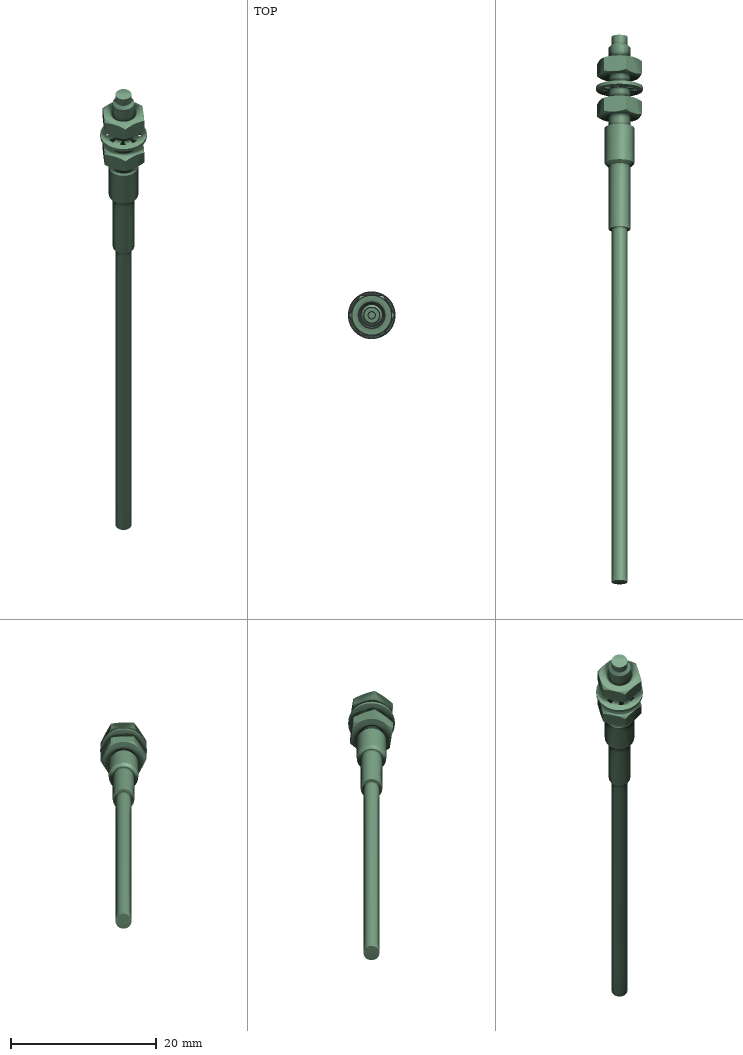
import cadquery as cq
import math

TOTAL_LENGTH = 78.0

CABLE_RADIUS = 1.1
SLEEVE_RADIUS = 1.5
COLLAR_RADIUS = 2.0
STEM_RADIUS = 1.5
TIP_RADIUS = 1.1
CORE_RADIUS = 0.5

TIP_LENGTH = 1.2
STEM_LENGTH = 11.85
COLLAR_LENGTH = 5.45
SLEEVE_LENGTH = 9.05
STEM_CHAMFER = 0.4
COLLAR_CHAMFER = 0.4

NUT_SIDES = 6
NUT_ACROSS_FLATS = 5.45
NUT_THICKNESS = 2.3
NUT_CHAMFER_ANGLE = 30.0
COUNTERSINK_RADIUS = 1.8
WASHER_RADIUS = 3.2
WASHER_THICKNESS = 0.5
WASHER_BORE_RADIUS = 2.35
TOOTH_COUNT = 8
TOOTH_WIDTH = 0.9
UPPER_NUT_TOP = 74.6
LOWER_NUT_TOP = 68.8
WASHER_TOP = 70.8

STEM_TOP = TOTAL_LENGTH - TIP_LENGTH
COLLAR_TOP = STEM_TOP - STEM_LENGTH
SLEEVE_TOP = COLLAR_TOP - COLLAR_LENGTH
CABLE_TOP = SLEEVE_TOP - SLEEVE_LENGTH


def cylinder(radius, bottom, top):
    return cq.Workplane("XY", origin=(0, 0, bottom)).circle(radius).extrude(top - bottom)


def hex_nut(top):
    """Hexagon nut with corners on the X axis, chamfered corners and countersunk ends."""
    flat_radius = NUT_ACROSS_FLATS / 2
    corner_radius = flat_radius / math.cos(math.pi / NUT_SIDES)
    bottom = top - NUT_THICKNESS
    chamfer_drop = (corner_radius - flat_radius) * math.tan(math.radians(NUT_CHAMFER_ANGLE))
    countersink_depth = COUNTERSINK_RADIUS - STEM_RADIUS
    base_plane = cq.Workplane("XY", origin=(0, 0, bottom))
    hexagon = base_plane.polygon(NUT_SIDES, 2 * corner_radius).extrude(NUT_THICKNESS)
    envelope = (
        cq.Workplane("XZ")
        .moveTo(STEM_RADIUS, bottom + countersink_depth)
        .lineTo(COUNTERSINK_RADIUS, bottom)
        .lineTo(flat_radius, bottom)
        .lineTo(corner_radius, bottom + chamfer_drop)
        .lineTo(corner_radius, top - chamfer_drop)
        .lineTo(flat_radius, top)
        .lineTo(COUNTERSINK_RADIUS, top)
        .lineTo(STEM_RADIUS, top - countersink_depth)
        .close()
        .revolve(360, (0, 0, 0), (0, 1, 0))
    )
    return hexagon.intersect(envelope)


def toothed_washer():
    """Ring whose inner teeth reach in to the axis, where they merge with the stem."""
    bottom = WASHER_TOP - WASHER_THICKNESS
    ring = cylinder(WASHER_RADIUS, bottom, WASHER_TOP).cut(cylinder(WASHER_BORE_RADIUS, bottom, WASHER_TOP))
    tooth_length = (WASHER_BORE_RADIUS + WASHER_RADIUS) / 2
    for index in range(TOOTH_COUNT):
        tooth = (
            cq.Workplane("XY", origin=(0, 0, bottom))
            .center(tooth_length / 2, 0)
            .rect(tooth_length, TOOTH_WIDTH)
            .extrude(WASHER_THICKNESS)
            .rotate((0, 0, 0), (0, 0, 1), index * 360 / TOOTH_COUNT)
        )
        ring = ring.union(tooth)
    return ring


def probe_body():
    """Cable, sleeve, collar and stem with the nuts and washer fixed on it, bored for the core."""
    stem = cylinder(STEM_RADIUS, COLLAR_TOP, STEM_TOP).faces(">Z").edges().chamfer(STEM_CHAMFER)
    collar = cylinder(COLLAR_RADIUS, SLEEVE_TOP, COLLAR_TOP).faces("<Z").edges().chamfer(COLLAR_CHAMFER)
    body = (
        cylinder(CABLE_RADIUS, 0, CABLE_TOP)
        .union(cylinder(SLEEVE_RADIUS, CABLE_TOP, SLEEVE_TOP))
        .union(collar)
        .union(stem)
        .union(cylinder(TIP_RADIUS, STEM_TOP, TOTAL_LENGTH))
        .union(toothed_washer())
    )
    for nut_top in (UPPER_NUT_TOP, LOWER_NUT_TOP):
        body = body.union(hex_nut(nut_top))
    return body.cut(fibre_core())


def fibre_core():
    """Fibre core running the whole length of the probe."""
    return cylinder(CORE_RADIUS, 0, TOTAL_LENGTH)


probe = probe_body()
core = fibre_core()

result = cq.Compound.makeCompound([probe.val(), core.val()])